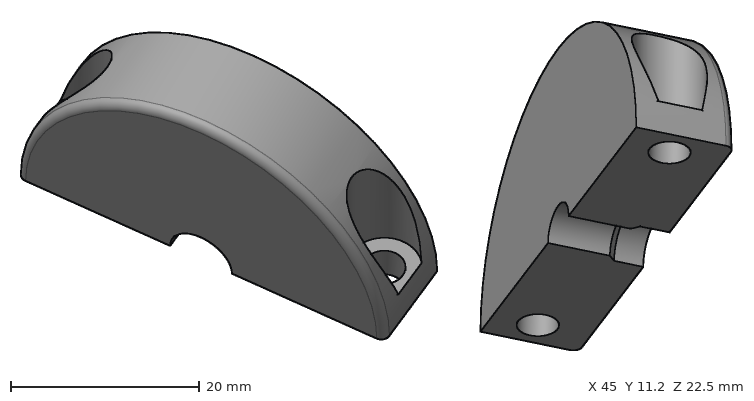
import cadquery as cq

outer_radius = 22.5
thickness = 11.2
edge_fillet = 1.0

bore_radius = 2.95
bore_mouth_radius = 3.8
bore_mouth_depth = 3.35
bore_taper_length = bore_mouth_radius - bore_radius

screw_offset = 19.0
screw_depth_position = 6.05
screw_hole_diameter = 4.5
screw_head_diameter = 8.0
screw_seat_height = 4.05


def half_disc():
    """Half cylinder along Y with a rounded front rim."""
    disc = cq.Workplane("XZ").circle(outer_radius).extrude(-thickness)
    disc = disc.faces("<Y").edges().fillet(edge_fillet)
    upper_half = cq.Workplane("XY").box(
        2 * outer_radius, thickness, outer_radius, centered=(True, False, False)
    )
    return disc.intersect(upper_half)


def center_bore():
    """Through bore along Y: a wide front mouth narrowing over a conical shoulder."""
    taper_end = bore_mouth_depth + bore_taper_length
    half_profile = (
        cq.Workplane("XY")
        .lineTo(bore_mouth_radius, 0)
        .lineTo(bore_mouth_radius, bore_mouth_depth)
        .lineTo(bore_radius, taper_end)
        .lineTo(bore_radius, thickness)
        .lineTo(0, thickness)
        .close()
    )
    return half_profile.revolve(360, (0, 0, 0), (0, 1, 0))


def screw_pocket(x):
    """Vertical clearance hole with a head counterbore open through the rim."""
    center = (x, screw_depth_position)
    hole = cq.Workplane("XY").center(*center).circle(screw_hole_diameter / 2).extrude(outer_radius)
    head = (
        cq.Workplane("XY", origin=(0, 0, screw_seat_height))
        .center(*center)
        .circle(screw_head_diameter / 2)
        .extrude(outer_radius)
    )
    return hole.union(head)


result = half_disc().cut(center_bore())
for side in (-1, 1):
    result = result.cut(screw_pocket(side * screw_offset))